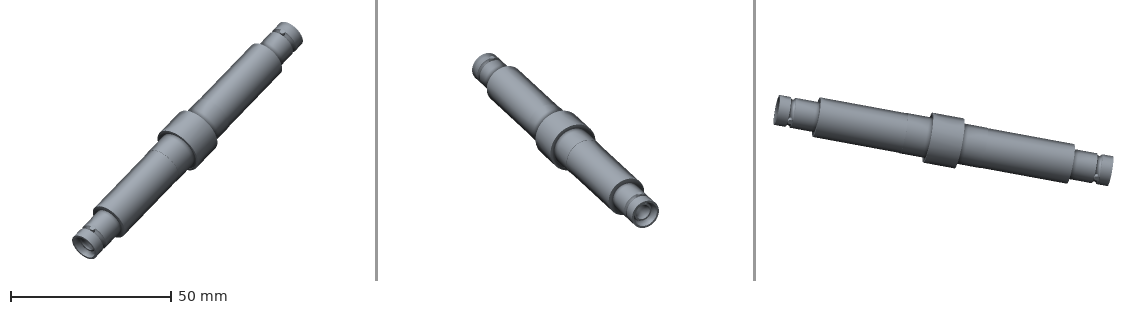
import cadquery as cq

total_length = 106.7
half_length = total_length / 2

collar_radius = 15.9 / 2
collar_half_width = 5.0
recess_radius = 7.3
recess_depth = 0.3

shoulder_radius = 6.4
shoulder_half_length = 12.8
barrel_radius = 6.3
barrel_half_length = 40.6

tip_radius = 4.75
nose_length = 3.5
groove_width = 1.6
groove_depth = 0.6

lug_diameter = 1.6
lug_span = 10.9

mouth_radius = 4.1
mouth_floor_radius = 3.3
mouth_depth = 2.2
insulator_radius = 3.0
insulator_setback = 1.7
bore_radius = 2.5
bore_floor_radius = 1.3
bore_depth = 10.7
centre_hole_radius = 0.9
centre_hole_depth = 3.2


def cylinder(radius, start, end):
    """Cylinder around Y between two stations along the axis."""
    return cq.Workplane("XZ", origin=(0, end, 0)).circle(radius).extrude(end - start)


def ring(outer_radius, inner_radius, start, end):
    """Tube around Y between two stations along the axis."""
    return cylinder(outer_radius, start, end).cut(cylinder(inner_radius, start, end))


def body():
    """Solid turned outside, before the sockets, grooves and recesses are cut."""
    collar = cylinder(collar_radius, -collar_half_width, collar_half_width)
    shoulder = cylinder(shoulder_radius, -shoulder_half_length, shoulder_half_length)
    barrel = cylinder(barrel_radius, -barrel_half_length, barrel_half_length)
    tips = cylinder(tip_radius, -half_length, half_length)
    return collar.union(shoulder).union(barrel).union(tips)


def groove():
    """Ring with an arc-shaped floor, cut around the tip behind the nose."""
    front = half_length - nose_length
    back = front - groove_width
    middle = (front + back) / 2
    return (
        cq.Workplane("XY")
        .moveTo(tip_radius, back)
        .threePointArc((tip_radius - groove_depth, middle), (tip_radius, front))
        .lineTo(tip_radius + groove_depth, front)
        .lineTo(tip_radius + groove_depth, back)
        .close()
        .revolve(360, (0, 0, 0), (0, 1, 0))
    )


def socket():
    """Everything hollow inside one tip."""
    mouth_floor = half_length - mouth_depth
    insulator_face = half_length - insulator_setback
    bore_floor = half_length - bore_depth
    hole_floor = bore_floor - centre_hole_depth
    return (
        cq.Workplane("XY")
        .polyline([
            (0, half_length),
            (mouth_radius, half_length),
            (mouth_floor_radius, mouth_floor),
            (insulator_radius, mouth_floor),
            (insulator_radius, insulator_face),
            (bore_radius, insulator_face),
            (bore_floor_radius, bore_floor),
            (centre_hole_radius, bore_floor),
            (centre_hole_radius, hole_floor),
            (0, hole_floor),
        ])
        .close()
        .revolve(360, (0, 0, 0), (0, 1, 0))
    )


def collar_recess():
    """Ring recess in the collar face, around the shoulder."""
    floor = collar_half_width - recess_depth
    return ring(recess_radius, shoulder_radius, floor, collar_half_width)


def lugs():
    """Upper and lower bayonet lug of one tip, rooted inside the tip wall."""
    lug_centre_y = half_length - nose_length - groove_width / 2
    pin = cq.Workplane("XY", origin=(0, lug_centre_y, 0)).circle(lug_diameter / 2)
    pin = pin.extrude(lug_span / 2, both=True)
    wall = ring(lug_span, mouth_radius, lug_centre_y - lug_diameter, lug_centre_y + lug_diameter)
    return pin.intersect(wall)


def on_both_ends(shape):
    return shape.union(shape.mirror("XZ"))


result = (
    body()
    .cut(on_both_ends(groove()))
    .cut(on_both_ends(collar_recess()))
    .union(on_both_ends(lugs()))
    .cut(on_both_ends(socket()))
)